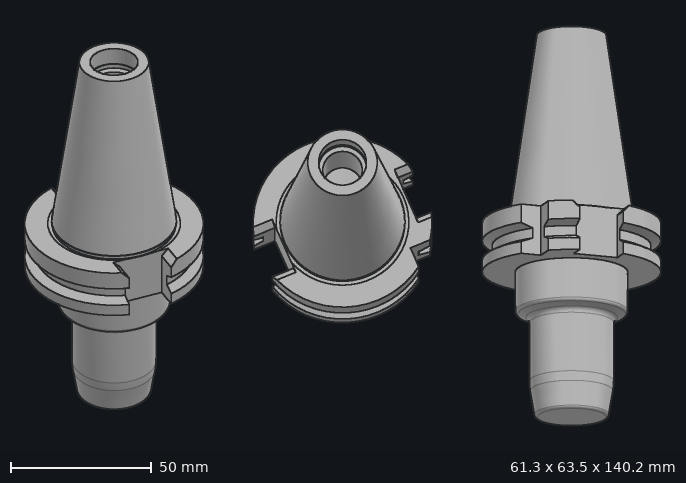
import cadquery as cq
import math

TOTAL_HEIGHT = 140.2
NOSE_TAPER_TOP_Z = 11.4
FLANGE_BOTTOM_Z = 53.2
FLANGE_TOP_Z = 71.2
TAPER_BASE_Z = 72.1

NOSE_BOTTOM_DIAMETER = 26.2
NOSE_DIAMETER = 30.0
COLLAR_DIAMETER = 40.0
SHOULDER_TOP_Z = 38.0
SHOULDER_SLOPE = 22.0
NOSE_EDGE_RADIUS = 1.1
NOSE_BLEND_RADIUS = 21.0
SHOULDER_ROOT_RADIUS = 2.1
SHOULDER_EDGE_RADIUS = 1.3

FLANGE_DIAMETER = 63.5
GROOVE_DIAMETER = 56.5
GROOVE_FLOOR_BOTTOM_Z = 59.2
GROOVE_FLOOR_TOP_Z = 62.8
GROOVE_LOWER_RIM_Z = 57.5
GROOVE_UPPER_RIM_Z = 64.5

TAPER_BASE_DIAMETER = 44.5
TAPER_TOP_DIAMETER = 24.7
NECK_DIAMETER = 43.9
RELIEF_DIAMETER = 47.1
RELIEF_DEPTH = 0.5

SLOT_WIDTH = 16.4
SLOT_CHAMFER = 2.5
LEFT_SLOT_FLOOR = 24.7
RIGHT_SLOT_FLOOR = 22.6
NOTCH_X = 18.4
NOTCH_Y = 18.4

MOUTH_DIAMETER = 17.0
MOUTH_DEPTH = 6.6
RECESS_DIAMETER = 17.4
RECESS_DEPTH = 8.4
PILOT_DIAMETER = 14.0
PILOT_DEPTH = 28.0
DRILL_HALF_ANGLE = 70.0


def revolve_profile(points):
    """Revolve a closed (radius, height) outline about the Z axis."""
    outline = cq.Workplane("XZ").polyline(points).close()
    return outline.revolve(360, (0, 0, 0), (0, 1, 0))


def round_ring(body, radius, height, fillet):
    """Round the circular edge of the given radius and height."""
    tolerance = 0.07
    corner = radius + tolerance
    box = cq.selectors.BoxSelector(
        (-corner, -corner, height - tolerance),
        (corner, corner, height + tolerance),
        boundingbox=True,
    )
    return body.edges("%CIRCLE").edges(box).fillet(fillet)


def make_lower_body():
    """Tapered nose stepping out to the collar under the flange."""
    nose_bottom = NOSE_BOTTOM_DIAMETER / 2
    nose = NOSE_DIAMETER / 2
    collar = COLLAR_DIAMETER / 2
    shoulder_drop = (collar - nose) * math.tan(math.radians(SHOULDER_SLOPE))
    shoulder_root_z = SHOULDER_TOP_Z - shoulder_drop
    body = revolve_profile([
        (0, 0),
        (nose_bottom, 0),
        (nose, NOSE_TAPER_TOP_Z),
        (nose, shoulder_root_z),
        (collar, SHOULDER_TOP_Z),
        (collar, FLANGE_BOTTOM_Z),
        (0, FLANGE_BOTTOM_Z),
    ])
    body = round_ring(body, nose_bottom, 0, NOSE_EDGE_RADIUS)
    body = round_ring(body, nose, NOSE_TAPER_TOP_Z, NOSE_BLEND_RADIUS)
    body = round_ring(body, nose, shoulder_root_z, SHOULDER_ROOT_RADIUS)
    return round_ring(body, collar, SHOULDER_TOP_Z, SHOULDER_EDGE_RADIUS)


def make_flange_and_taper():
    """Grooved flange, relief ring and steep taper."""
    flange = FLANGE_DIAMETER / 2
    groove = GROOVE_DIAMETER / 2
    neck = NECK_DIAMETER / 2
    return revolve_profile([
        (0, FLANGE_BOTTOM_Z),
        (flange, FLANGE_BOTTOM_Z),
        (flange, GROOVE_LOWER_RIM_Z),
        (groove, GROOVE_FLOOR_BOTTOM_Z),
        (groove, GROOVE_FLOOR_TOP_Z),
        (flange, GROOVE_UPPER_RIM_Z),
        (flange, FLANGE_TOP_Z),
        (RELIEF_DIAMETER / 2, FLANGE_TOP_Z),
        (neck, FLANGE_TOP_Z - RELIEF_DEPTH),
        (neck, TAPER_BASE_Z),
        (TAPER_BASE_DIAMETER / 2, TAPER_BASE_Z),
        (TAPER_TOP_DIAMETER / 2, TOTAL_HEIGHT),
        (0, TOTAL_HEIGHT),
    ])


def make_drive_slot(side, floor):
    """Cutter for a slot with chamfered upper edges; side is -1 or +1 along X."""
    half = SLOT_WIDTH / 2
    wide = half + SLOT_CHAMFER
    chamfer_z = FLANGE_TOP_Z - SLOT_CHAMFER
    section = cq.Workplane("YZ").workplane(offset=side * floor).polyline([
        (-half, FLANGE_BOTTOM_Z),
        (half, FLANGE_BOTTOM_Z),
        (half, chamfer_z),
        (wide, FLANGE_TOP_Z),
        (-wide, FLANGE_TOP_Z),
        (-half, chamfer_z),
    ]).close()
    return section.extrude(side * FLANGE_DIAMETER / 2)


def make_notch():
    """Cutter for the square notch through the flange at the -X, +Y corner."""
    size = FLANGE_DIAMETER / 2
    height = FLANGE_TOP_Z - FLANGE_BOTTOM_Z
    notch = cq.Workplane("XY").box(size, size, height, centered=False)
    return notch.translate((-NOTCH_X - size, NOTCH_Y, FLANGE_BOTTOM_Z))


def make_bore():
    """Cutter for the bore, its recess and their conical floors."""
    mouth = MOUTH_DIAMETER / 2
    recess = RECESS_DIAMETER / 2
    pilot = PILOT_DIAMETER / 2
    cone_rate = 1 / math.tan(math.radians(DRILL_HALF_ANGLE))
    mouth_z = TOTAL_HEIGHT - MOUTH_DEPTH
    recess_z = TOTAL_HEIGHT - RECESS_DEPTH
    pilot_z = TOTAL_HEIGHT - PILOT_DEPTH
    return revolve_profile([
        (0, TOTAL_HEIGHT),
        (mouth, TOTAL_HEIGHT),
        (mouth, mouth_z),
        (recess, mouth_z),
        (recess, recess_z),
        (pilot, recess_z - (recess - pilot) * cone_rate),
        (pilot, pilot_z),
        (0, pilot_z - pilot * cone_rate),
    ])


result = make_lower_body().union(make_flange_and_taper())
result = result.cut(make_drive_slot(-1, LEFT_SLOT_FLOOR))
result = result.cut(make_drive_slot(1, RIGHT_SLOT_FLOOR))
result = result.cut(make_notch())
result = result.cut(make_bore())